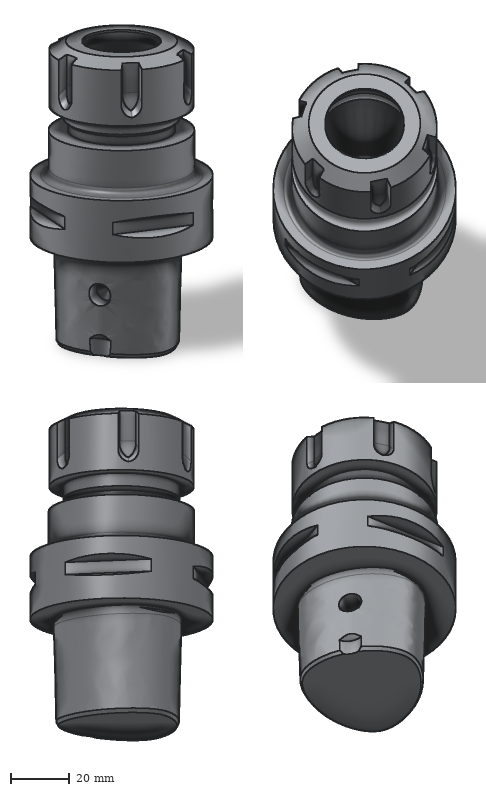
import cadquery as cq
import math

shank_chamfer_top = 1.4
taper_top = 34.9
flange_bottom = 37.8
flange_top = 59.9
body_top = 76.0
spindle_chamfer_bottom = 79.2
spindle_chamfer_top = 80.4
nut_bottom = 84.9
nut_cone_bottom = 104.9
nut_top = 108.0

flange_radius = 63.0 / 2
body_radius = 25.2
neck_radius = 18.6
spindle_radius = 20.1
nut_radius = 25.0
nut_face_radius = 19.2
body_fillet = 2.8

shank_mean_radius = 22.0
lobe_height = 1.4
shank_taper = 1 / 40
shank_chamfer = 0.8
shank_curve_points = 72
shank_tip_radius = shank_mean_radius - shank_taper * (taper_top - shank_chamfer_top)

relief_radius = 22.5
relief_straight_height = 0.9
relief_cone_size = 1.1

nut_hole_radius = 13.6
nut_hole_bottom = 107.2
nut_seat_radius = 15.9
nut_seat_top = 103.0
cavity_top = 100.2
cavity_radius = 21.0
spindle_face = 94.8
collet_mouth_radius = 16.4
bore_floor_radius = 11.8
collet_angle = math.radians(8)
bore_floor = spindle_face - (collet_mouth_radius - bore_floor_radius) / math.tan(collet_angle)

slot_count = 6
slot_floor_radius = 21.8
slot_floor_half_width = 2.8
slot_mouth_half_width = 3.7
slot_mouth_end = 92.0
slot_point_height = 4.2
slot_ramp_start = 96.3
slot_ramp_tip = 89.7
slot_ramp_rise = 1.2
slot_ramp_bulge = 0.3

groove_count = 4
groove_floor_distance = 27.6
groove_middle = 49.9
groove_floor_height = 4.3
groove_mouth_height = 7.6

hole_height = 22.4
hole_radius = 4.0
hole_depth = 7.6
hole_point_depth = 2.3
notch_radius = 6.4
notch_axis_distance = 24.7
notch_height = 6.0
notch_cone_height = 7.6

overlap = 1.1


def turned(points):
    """Solid of revolution about Z from (radius, height) points."""
    return cq.Workplane("XZ").polyline(points).close().revolve(360, (0, 0, 0), (0, 1, 0))


def shank_section(mean_radius, height):
    """Closed three-lobed outline of constant width, with one lobe toward +Y."""

    def point(turn):
        angle = 2 * math.pi * turn
        along_lobe = (
            mean_radius * math.cos(angle)
            + 2 * lobe_height * math.cos(2 * angle)
            - lobe_height * math.cos(4 * angle)
        )
        across_lobe = (
            mean_radius * math.sin(angle)
            - 2 * lobe_height * math.sin(2 * angle)
            - lobe_height * math.sin(4 * angle)
        )
        return across_lobe, along_lobe

    points = [point(i / shank_curve_points) for i in range(shank_curve_points)]
    outline = cq.Workplane("XY").workplane(offset=height).spline(points, periodic=True).close()
    return outline.val()


def shank_stage(bottom_radius, bottom, top_radius, top):
    sections = [shank_section(bottom_radius, bottom), shank_section(top_radius, top)]
    return cq.Workplane(cq.Solid.makeLoft(sections, True))


def shank():
    chamfer = shank_stage(shank_tip_radius - shank_chamfer, 0, shank_tip_radius, shank_chamfer_top)
    taper = shank_stage(shank_tip_radius, shank_chamfer_top, shank_mean_radius, taper_top)
    collar = shank_stage(shank_mean_radius, taper_top, shank_mean_radius, flange_bottom)
    return chamfer.union(taper).union(collar)


def lobe_relief():
    cone_top = flange_bottom - relief_straight_height
    outer = relief_radius + relief_cone_size
    return turned(
        [
            (relief_radius, flange_bottom),
            (relief_radius, cone_top),
            (outer, cone_top - relief_cone_size),
            (outer + overlap, cone_top - relief_cone_size),
            (outer + overlap, flange_bottom),
        ]
    )


def turned_body():
    """Flange, body, neck, spindle and nut in one profile."""
    fillet_middle = body_fillet * (1 - math.sqrt(0.5))
    return (
        cq.Workplane("XZ")
        .moveTo(0, flange_bottom)
        .lineTo(flange_radius, flange_bottom)
        .lineTo(flange_radius, flange_top)
        .lineTo(body_radius + body_fillet, flange_top)
        .threePointArc(
            (body_radius + fillet_middle, flange_top + fillet_middle),
            (body_radius, flange_top + body_fillet),
        )
        .lineTo(body_radius, body_top)
        .lineTo(neck_radius, body_top)
        .lineTo(neck_radius, spindle_chamfer_bottom)
        .lineTo(spindle_radius, spindle_chamfer_top)
        .lineTo(spindle_radius, nut_bottom)
        .lineTo(nut_radius, nut_bottom)
        .lineTo(nut_radius, nut_cone_bottom)
        .lineTo(nut_face_radius, nut_top)
        .lineTo(0, nut_top)
        .close()
        .revolve(360, (0, 0, 0), (0, 1, 0))
    )


def collet_cavity():
    """Nut hole, 30 degree nut seat, undercut and tapered collet bore."""
    return turned(
        [
            (0, bore_floor),
            (bore_floor_radius, bore_floor),
            (collet_mouth_radius, spindle_face),
            (cavity_radius, spindle_face),
            (cavity_radius, cavity_top),
            (nut_seat_radius, cavity_top),
            (nut_seat_radius, nut_seat_top),
            (nut_hole_radius, nut_hole_bottom),
            (nut_hole_radius, nut_top + overlap),
            (0, nut_top + overlap),
        ]
    )


def slot_outline(distance, half_width, end):
    """Upright slot outline, open past the nut face, with a pointed-arch lower end."""
    arch_radius = (half_width**2 + slot_point_height**2) / (2 * half_width)
    arch_angle = math.asin(slot_point_height / arch_radius) / 2
    middle_across = half_width - arch_radius * (1 - math.cos(arch_angle))
    middle_height = end - arch_radius * math.sin(arch_angle)
    outline = (
        cq.Workplane("YZ", origin=(distance, 0, 0))
        .moveTo(-half_width, nut_top + overlap)
        .lineTo(-half_width, end)
        .threePointArc((-middle_across, middle_height), (0, end - slot_point_height))
        .threePointArc((middle_across, middle_height), (half_width, end))
        .lineTo(half_width, nut_top + overlap)
        .close()
    )
    return outline.val()


def spanner_slot():
    """Slot on the +X side whose floor ramps outward into its pointed end."""
    depth = nut_radius - slot_floor_radius
    flare = (slot_mouth_half_width - slot_floor_half_width) / depth
    outer = nut_radius + overlap
    floor = slot_outline(slot_floor_radius, slot_floor_half_width, slot_mouth_end + depth)
    mouth = slot_outline(outer, slot_mouth_half_width + flare * overlap, slot_mouth_end - overlap)
    slot = cq.Workplane(cq.Solid.makeLoft([floor, mouth], True))

    ramp_tip_radius = slot_floor_radius + slot_ramp_rise
    ramp_bottom = slot_ramp_tip - 2 * overlap
    inner = slot_floor_radius - overlap
    ramp = (
        cq.Workplane("XZ")
        .moveTo(inner, slot_ramp_start)
        .lineTo(slot_floor_radius, slot_ramp_start)
        .threePointArc(
            (
                slot_floor_radius + slot_ramp_rise / 2 - slot_ramp_bulge,
                (slot_ramp_start + slot_ramp_tip) / 2,
            ),
            (ramp_tip_radius, slot_ramp_tip),
        )
        .lineTo(ramp_tip_radius, ramp_bottom)
        .lineTo(inner, ramp_bottom)
        .close()
        .extrude(slot_mouth_half_width, both=True)
    )
    return slot.cut(ramp)


def gripper_groove():
    """Straight groove across the +X side of the flange, with sloping flanks."""
    outer = flange_radius + overlap
    flank_slope = (groove_mouth_height - groove_floor_height) / 2 / (flange_radius - groove_floor_distance)
    floor_half = groove_floor_height / 2
    outer_half = floor_half + flank_slope * (outer - groove_floor_distance)
    return (
        cq.Workplane("XZ")
        .moveTo(groove_floor_distance, groove_middle - floor_half)
        .lineTo(outer, groove_middle - outer_half)
        .lineTo(outer, groove_middle + outer_half)
        .lineTo(groove_floor_distance, groove_middle + floor_half)
        .close()
        .extrude(flange_radius, both=True)
    )


def shank_hole():
    """Blind hole with a conical end, drilled toward +Y."""
    mouth = -(shank_mean_radius + overlap)
    floor = -(shank_mean_radius - lobe_height) + hole_depth
    return (
        cq.Workplane("XY", origin=(0, 0, hole_height))
        .polyline([(0, mouth), (hole_radius, mouth), (hole_radius, floor), (0, floor + hole_point_depth)])
        .close()
        .revolve(360, (0, 0, 0), (0, 1, 0))
    )


def end_notch():
    """Scallop at the shank end, left by an upright cutter with a conical tip."""
    cutter = turned(
        [
            (0, -overlap),
            (notch_radius, -overlap),
            (notch_radius, notch_height),
            (0, notch_height + notch_cone_height),
        ]
    )
    return cutter.translate((0, -notch_axis_distance, 0))


def cut_around(part, cutter, count, first_angle=0):
    for i in range(count):
        angle = first_angle + 360 / count * i
        part = part.cut(cutter.rotate((0, 0, 0), (0, 0, 1), angle))
    return part


result = shank().cut(lobe_relief()).union(turned_body())
result = result.cut(collet_cavity())
result = cut_around(result, spanner_slot(), slot_count)
result = cut_around(result, gripper_groove(), groove_count, first_angle=45)
result = result.cut(shank_hole()).cut(end_notch())